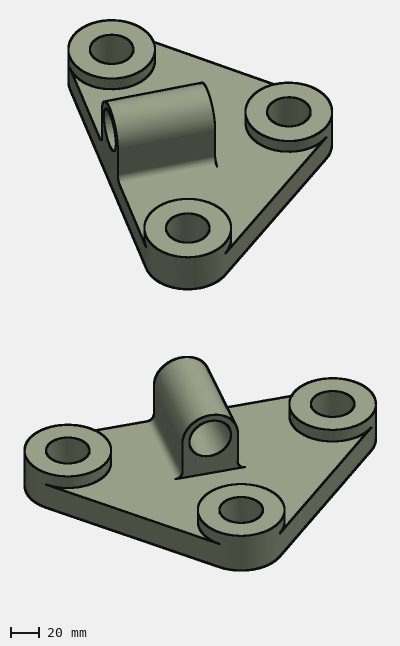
import cadquery as cq
import math

boss_diameter = 60.0
boss_hole_diameter = 30.0
boss_height = 30.0
plate_thickness = 20.0
front_boss_spacing = 190.79
boss_row_spacing = 100.0

tube_diameter = 40.0
tube_bore_diameter = 30.0
tube_axis_height = 49.8
tube_length = 70.0
left_boss_to_tube = 100.0
root_fillet_radius = 5.0

boss_radius = boss_diameter / 2
tube_radius = tube_diameter / 2
front_edge_y = -boss_radius
tube_x = left_boss_to_tube - front_boss_spacing / 2

left_boss = (-front_boss_spacing / 2, 0)
right_boss = (front_boss_spacing / 2, 0)
rear_boss = (0, boss_row_spacing)
boss_centers = [left_boss, right_boss, rear_boss]


def make_plate():
    """Plate bounded by the outer tangents of neighbouring bosses; the bosses round its corners."""
    tangent_points = []
    next_centers = boss_centers[1:] + boss_centers[:1]
    for (x1, y1), (x2, y2) in zip(boss_centers, next_centers):
        edge = cq.Vector(x2 - x1, y2 - y1)
        outward = cq.Vector(edge.y, -edge.x).normalized() * boss_radius
        tangent_points.append((x1 + outward.x, y1 + outward.y))
        tangent_points.append((x2 + outward.x, y2 + outward.y))
    return cq.Workplane("XY").polyline(tangent_points).close().extrude(plate_thickness)


def make_bosses():
    """Round bosses, standing from the plate underside to above its top face."""
    return cq.Workplane("XY").pushPoints(boss_centers).circle(boss_radius).extrude(boss_height)


def make_tube_support():
    """Round-topped upright that flares into the plate with root fillets."""
    foot_half_width = tube_radius + root_fillet_radius
    fillet_top = plate_thickness + root_fillet_radius
    fillet_sag = root_fillet_radius * (1 - math.cos(math.radians(45)))
    fillet_mid_x = tube_radius + fillet_sag
    fillet_mid_z = plate_thickness + fillet_sag
    return (
        cq.Workplane("XZ", origin=(tube_x, front_edge_y, 0))
        .moveTo(-foot_half_width, 0)
        .lineTo(foot_half_width, 0)
        .lineTo(foot_half_width, plate_thickness)
        .threePointArc((fillet_mid_x, fillet_mid_z), (tube_radius, fillet_top))
        .lineTo(tube_radius, tube_axis_height)
        .threePointArc((0, tube_axis_height + tube_radius), (-tube_radius, tube_axis_height))
        .lineTo(-tube_radius, fillet_top)
        .threePointArc((-fillet_mid_x, fillet_mid_z), (-foot_half_width, plate_thickness))
        .close()
        .extrude(-tube_length)
    )


def make_tube_bore():
    """Cylinder that bores the tube from end to end."""
    return (
        cq.Workplane("XZ", origin=(tube_x, front_edge_y, tube_axis_height))
        .circle(tube_bore_diameter / 2)
        .extrude(-tube_length)
    )


def make_boss_holes():
    """Cylinders that pass through the full height of the bosses."""
    return (
        cq.Workplane("XY")
        .pushPoints(boss_centers)
        .circle(boss_hole_diameter / 2)
        .extrude(boss_height)
    )


body = make_plate().union(make_bosses()).union(make_tube_support())
result = body.cut(make_tube_bore()).cut(make_boss_holes())